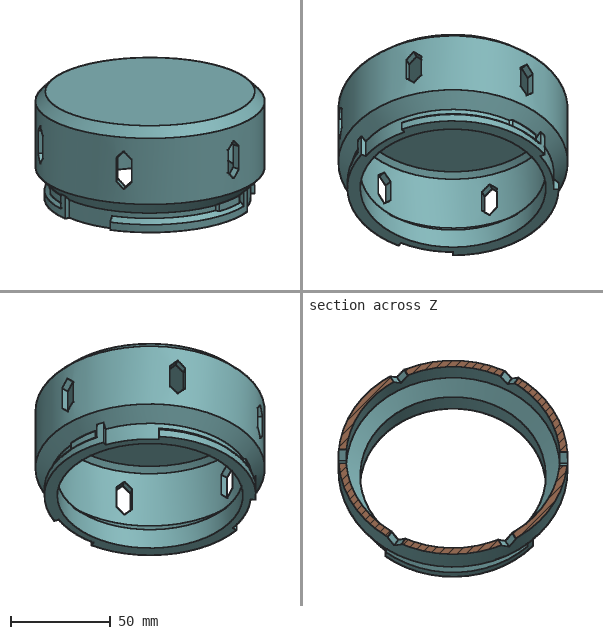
import cadquery as cq
import math

total_height = 56.5
body_radius = 57.5
top_chamfer = 5.0
wall = 4.0

neck_radius = 50.5
neck_height = 9.5
cone_top = neck_height + (body_radius - neck_radius)
chamfer_base = total_height - top_chamfer

window_count = 6
first_window_angle = 30.0
window_width = 8.0
window_height = 20.0
window_tip_height = window_width / 2
window_z = (cone_top + chamfer_base) / 2

bayonet_count = 3
lip_radius = 53.0
lip_edge_height = 4.2
lip_top_height = lip_edge_height + (lip_radius - neck_radius)
lip_start_angle = 201.0
stop_height = 12.0
stop_start_angle = 285.8
stop_end_angle = 290.0
bump_radius = 51.25
bump_bottom = 6.0
bump_top = 10.0
bump_start_angle = 264.0
bump_end_angle = 285.6
bump_bevel_angle = 1.8

root_radius = neck_radius - wall / 2


def sector(profile, start_angle, end_angle):
    """Revolve an (r, z) profile about Z from start_angle to end_angle, in degrees."""
    solid = (
        cq.Workplane("XZ")
        .polyline(profile)
        .close()
        .revolve(end_angle - start_angle, (0, 0), (0, 1))
    )
    return solid.rotate((0, 0, 0), (0, 0, 1), start_angle)


def point_at(radius, angle):
    """XY point at a radius and an angle in degrees."""
    return (radius * math.cos(math.radians(angle)), radius * math.sin(math.radians(angle)))


def make_shell():
    """Cap of uniform wall thickness, closed at the top."""
    outside = [
        (0, 0),
        (neck_radius, 0),
        (neck_radius, neck_height),
        (body_radius, cone_top),
        (body_radius, chamfer_base),
        (body_radius - top_chamfer, total_height),
        (0, total_height),
    ]
    shift = wall * math.tan(math.radians(45 / 2))
    inside = [
        (0, 0),
        (neck_radius - wall, 0),
        (neck_radius - wall, neck_height + shift),
        (body_radius - wall, cone_top + shift),
        (body_radius - wall, chamfer_base - shift),
        (body_radius - top_chamfer - shift, total_height - wall),
        (0, total_height - wall),
    ]
    return sector(outside, 0, 360).cut(sector(inside, 0, 360))


def make_window_cutter(angle):
    """Radial prism with an upright hexagon section, pointed at both ends."""
    half_width = window_width / 2
    tip = window_height / 2
    shoulder = tip - window_tip_height
    outline = [
        (half_width, -shoulder),
        (half_width, shoulder),
        (0, tip),
        (-half_width, shoulder),
        (-half_width, -shoulder),
        (0, -tip),
    ]
    return (
        cq.Workplane("YZ")
        .polyline(outline)
        .close()
        .extrude(body_radius + wall)
        .translate((0, 0, window_z))
        .rotate((0, 0, 0), (0, 0, 1), angle)
    )


def make_lip():
    """Flange at the foot of the neck, sloped back to the neck on top."""
    profile = [
        (root_radius, 0),
        (lip_radius, 0),
        (lip_radius, lip_edge_height),
        (neck_radius, lip_top_height),
        (root_radius, lip_top_height),
    ]
    return sector(profile, lip_start_angle, stop_end_angle)


def make_stop():
    """Upright bar that closes the end of the lip and runs up into the cone."""
    profile = [
        (root_radius, 0),
        (lip_radius, 0),
        (lip_radius, stop_height),
        (root_radius, stop_height),
    ]
    return sector(profile, stop_start_angle, stop_end_angle)


def make_bump():
    """Low click bump between lip and cone, with bevelled ends."""
    crest_start = bump_start_angle + bump_bevel_angle
    crest_end = bump_end_angle - bump_bevel_angle
    crest_middle = (crest_start + crest_end) / 2
    return (
        cq.Workplane("XY")
        .workplane(offset=bump_bottom)
        .moveTo(*point_at(root_radius, bump_start_angle))
        .lineTo(*point_at(neck_radius, bump_start_angle))
        .lineTo(*point_at(bump_radius, crest_start))
        .threePointArc(point_at(bump_radius, crest_middle), point_at(bump_radius, crest_end))
        .lineTo(*point_at(neck_radius, bump_end_angle))
        .lineTo(*point_at(root_radius, bump_end_angle))
        .close()
        .extrude(bump_top - bump_bottom)
    )


result = make_shell()

for index in range(window_count):
    window_angle = first_window_angle + index * 360 / window_count
    result = result.cut(make_window_cutter(window_angle))

bayonet_set = make_lip().union(make_stop()).union(make_bump())
for index in range(bayonet_count):
    set_angle = index * 360 / bayonet_count
    result = result.union(bayonet_set.rotate((0, 0, 0), (0, 0, 1), set_angle))